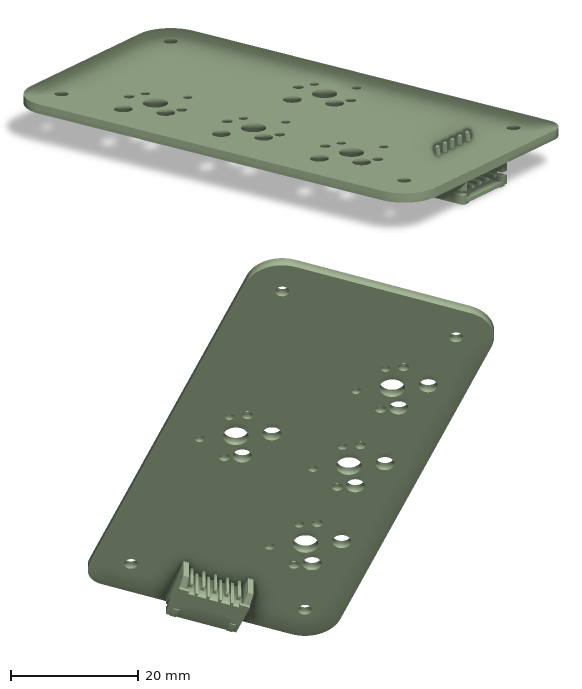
import cadquery as cq

BOARD_LENGTH = 78.55
BOARD_WIDTH = 41.2
BOARD_THICKNESS = 1.6
CORNER_RADIUS = 6.0
SMALL_CORNER_RADIUS = 3.15

MOUNT_INSET = 6.0
MOUNT_DIAMETER = 2.2

SWITCH_ROW_LENGTH = 38.1
SWITCH_PITCH = SWITCH_ROW_LENGTH / 2
SWITCH_ROW_X = 20.4
SWITCH_ROW_Y = 11.2
SWITCH_CELLS = [(0, 0), (1, 0), (2, 0), (1, 1)]
POST_DIAMETER = 4.0
POST_X = 5.1
HOLE_STEP = POST_X / 2
SIDE_POST_DIAMETER = 1.7
SOCKET_DIAMETER = 3.0
LEAD_DIAMETER = 1.5
SOCKET_STEPS = [(1.5, -1), (-1, -2)]
LEAD_STEPS = [(-1.5, 1), (1, 2)]

PIN_COUNT = 5
PIN_ROW_LENGTH = 8.0
PIN_PITCH = PIN_ROW_LENGTH / (PIN_COUNT - 1)
PIN_WIDTH = 0.5
PIN_HOLE_DIAMETER = 0.75
PIN_X = 70.4
PIN_TOP = 3.4
PIN_POINT = 0.2
PIN_POINT_WIDTH = 0.15
PIN_LEVEL = -3.1
PIN_END_X = 76.0
PIN_BEND_RADIUS = 0.4
KINK_OFFSET = 0.2
KINK_HEIGHT = 0.15

HOUSING_Y = 21.9
HOUSING_WIDTH = 11.9
HOUSING_REAR = 69.0
HOUSING_MOUTH = 76.7
HOUSING_BOTTOM = -4.7
SIDE_WALL = 1.2
SIDE_WALL_TAPER = 0.2
CORE_TOP = -0.3
CHAMFER_X = 1.65
CHAMFER_TOP = -3.2
CHAMFER_BOTTOM = -4.25

REAR_FACE = 71.0
REAR_DRAFT = 0.15
BAND_HALF_HEIGHT = 0.5
CAVITY_REAR = 72.1
CAVITY_TOP = -1.1
CAVITY_FLOOR = -4.1
RIB_WIDTH = 0.5
FOOT_WIDTH = 1.65
SLOT_LENGTH = 1.9
SLOT_TOP = -2.5
SLOT_BOTTOM = -3.2
LIP_INNER = 4.25
LIP_WIDTH = 1.0
LIP_LENGTH = 1.65
LIP_HEIGHT = 0.15

CORE_WIDTH = HOUSING_WIDTH - 2 * SIDE_WALL
FOOT_REAR = HOUSING_REAR + CHAMFER_X
PIN_OFFSETS = [(i - (PIN_COUNT - 1) / 2) * PIN_PITCH for i in range(PIN_COUNT)]
RIB_OFFSETS = [offset + PIN_PITCH / 2 for offset in PIN_OFFSETS[:-1]]


def block(x_range, y_range, z_range):
    """Box between two limits along each axis."""
    size = [high - low for low, high in (x_range, y_range, z_range)]
    corner = (x_range[0], y_range[0], z_range[0])
    return cq.Workplane("XY").box(*size, centered=False).translate(corner)


def extrude_along_y(profile, y_centre, width):
    """Extrude an XZ outline to equal distances on both sides of y_centre."""
    flat = cq.Workplane("XZ", origin=(0, y_centre, 0))
    return flat.polyline(profile).close().extrude(width / 2, both=True)


def drill(board, centres, diameter):
    cutter = cq.Workplane("XY").pushPoints(centres).circle(diameter / 2).extrude(BOARD_THICKNESS)
    return board.cut(cutter)


def make_board():
    board = block((0, BOARD_LENGTH), (0, BOARD_WIDTH), (0, BOARD_THICKNESS))
    board = board.edges("|Z").edges(">(1, 1, 0)").fillet(SMALL_CORNER_RADIUS)
    board = board.edges("(|Z and <X) or (|Z and <Y and >X)").fillet(CORNER_RADIUS)

    mounts = [(x, y) for x in (MOUNT_INSET, BOARD_LENGTH - MOUNT_INSET)
              for y in (MOUNT_INSET, BOARD_WIDTH - MOUNT_INSET)]
    board = drill(board, mounts, MOUNT_DIAMETER)

    for column, row in SWITCH_CELLS:
        x = SWITCH_ROW_X + column * SWITCH_PITCH
        y = SWITCH_ROW_Y + row * SWITCH_PITCH
        sockets = [(x + i * HOLE_STEP, y + j * HOLE_STEP) for i, j in SOCKET_STEPS]
        leads = [(x + i * HOLE_STEP, y + j * HOLE_STEP) for i, j in LEAD_STEPS]
        board = drill(board, [(x, y)], POST_DIAMETER)
        board = drill(board, [(x - POST_X, y), (x + POST_X, y)], SIDE_POST_DIAMETER)
        board = drill(board, sockets, SOCKET_DIAMETER)
        board = drill(board, leads, LEAD_DIAMETER)

    pin_holes = [(PIN_X, HOUSING_Y + offset) for offset in PIN_OFFSETS]
    return drill(board, pin_holes, PIN_HOLE_DIAMETER)


def make_side_wall(side):
    """Side wall on the +Y (side = 1) or -Y (side = -1) side of the housing."""
    outline = [
        (HOUSING_REAR, 0),
        (HOUSING_MOUTH, 0),
        (HOUSING_MOUTH, HOUSING_BOTTOM),
        (FOOT_REAR, HOUSING_BOTTOM),
        (FOOT_REAR, CHAMFER_BOTTOM),
        (HOUSING_REAR, CHAMFER_TOP),
    ]
    outer = HOUSING_Y + side * HOUSING_WIDTH / 2
    inner = outer - side * SIDE_WALL
    wall = extrude_along_y(outline, (outer + inner) / 2, SIDE_WALL)

    taper = (
        cq.Workplane("XY", origin=(0, 0, HOUSING_BOTTOM))
        .polyline([(HOUSING_REAR, inner), (HOUSING_REAR, inner + side * SIDE_WALL_TAPER), (REAR_FACE, inner)])
        .close()
        .extrude(-HOUSING_BOTTOM)
    )
    wall = wall.cut(taper)

    foot_y = sorted((outer, outer - side * FOOT_WIDTH))
    foot = block((FOOT_REAR, HOUSING_MOUTH), foot_y, (HOUSING_BOTTOM, CHAMFER_BOTTOM))
    slot = block((HOUSING_MOUTH - SLOT_LENGTH, HOUSING_MOUTH), sorted((outer, inner)), (SLOT_BOTTOM, SLOT_TOP))
    lip_y = sorted(HOUSING_Y + side * edge for edge in (LIP_INNER, LIP_INNER + LIP_WIDTH))
    lip = block(
        (HOUSING_MOUTH - LIP_LENGTH, HOUSING_MOUTH), lip_y, (HOUSING_BOTTOM - LIP_HEIGHT, HOUSING_BOTTOM)
    )
    return wall.union(foot).cut(slot).union(lip)


def make_core():
    """Middle of the housing: bevelled rear face, ribs between the pins and the mating cavity."""
    outline = [
        (REAR_FACE + REAR_DRAFT, CORE_TOP),
        (HOUSING_MOUTH, CORE_TOP),
        (HOUSING_MOUTH, HOUSING_BOTTOM),
        (REAR_FACE + REAR_DRAFT, HOUSING_BOTTOM),
        (REAR_FACE, PIN_LEVEL - BAND_HALF_HEIGHT),
        (REAR_FACE, PIN_LEVEL + BAND_HALF_HEIGHT),
    ]
    core = extrude_along_y(outline, HOUSING_Y, CORE_WIDTH)
    for offset in RIB_OFFSETS:
        y = HOUSING_Y + offset
        rib = block(
            (FOOT_REAR, CAVITY_REAR), (y - RIB_WIDTH / 2, y + RIB_WIDTH / 2), (HOUSING_BOTTOM, CORE_TOP)
        )
        core = core.union(rib)
    cavity = block(
        (CAVITY_REAR, HOUSING_MOUTH),
        (HOUSING_Y - CORE_WIDTH / 2, HOUSING_Y + CORE_WIDTH / 2),
        (CAVITY_FLOOR, CAVITY_TOP),
    )
    return core.cut(cavity)


def pin_point(plane):
    """Tapered pin end that starts on the given plane and points along its normal."""
    return (
        cq.Workplane(plane)
        .rect(PIN_WIDTH, PIN_WIDTH)
        .workplane(offset=PIN_POINT)
        .rect(PIN_POINT_WIDTH, PIN_POINT_WIDTH)
        .loft()
    )


def make_pin(y, kink):
    """Square L-shaped pin; kink is how far it bulges toward +X just above the board."""
    half = PIN_WIDTH / 2
    rear = PIN_X - half
    front = PIN_X + half
    shoulder_z = PIN_TOP - PIN_POINT
    shoulder_x = PIN_END_X - PIN_POINT
    peak_z = BOARD_THICKNESS + KINK_HEIGHT

    lying = block((rear, shoulder_x), (y - half, y + half), (PIN_LEVEL - half, PIN_LEVEL + half))
    lying = lying.edges("|Y and <X and <Z").fillet(PIN_BEND_RADIUS)
    upright_outline = [
        (rear, PIN_LEVEL),
        (rear, BOARD_THICKNESS),
        (rear + kink, peak_z),
        (rear, shoulder_z),
        (front, shoulder_z),
        (front + kink, peak_z),
        (front, BOARD_THICKNESS),
        (front, PIN_LEVEL),
    ]
    upright = extrude_along_y(upright_outline, y, PIN_WIDTH)
    top_point = pin_point(cq.Plane((PIN_X, y, shoulder_z), normal=(0, 0, 1)))
    mating_point = pin_point(cq.Plane((shoulder_x, y, PIN_LEVEL), normal=(1, 0, 0)))
    return lying.union(upright).union(top_point).union(mating_point)


def make_connector():
    connector = make_core().union(make_side_wall(1)).union(make_side_wall(-1))
    for offset in PIN_OFFSETS:
        is_outer = offset in (PIN_OFFSETS[0], PIN_OFFSETS[-1])
        connector = connector.union(make_pin(HOUSING_Y + offset, KINK_OFFSET if is_outer else 0))
    return connector


board = make_board()
connector = make_connector()
result = cq.Compound.makeCompound([board.val(), connector.val()])